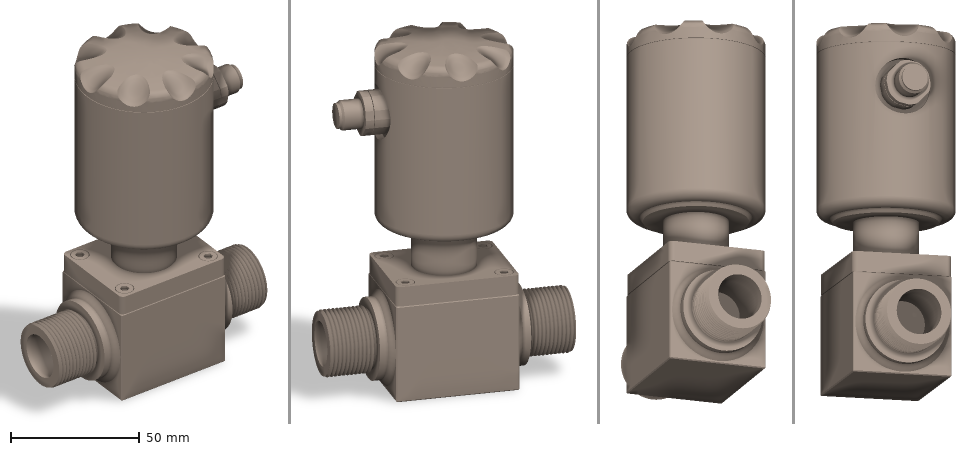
import cadquery as cq
import math

block_width = 40.0
block_length = 50.0
block_height = 40.0
block_edge_chamfer = 0.4
port_axis_z = block_height / 2

lid_height = 8.1
lid_corner_radius = 2.0
lid_top_z = block_height + lid_height
screw_inset = 5.0
screw_hole_diameter = 7.5
screw_head_diameter = 7.0
screw_gap_depth = 1.4
socket_across_corners = 3.8
socket_depth = 1.4

port_to_port_length = 100.0
port_end_y = port_to_port_length / 2
collar_diameter = 33.0
collar_inner_y = 27.5
collar_outer_y = 30.7
collar_base_diameter = 38.1
thread_crest_diameter = 26.7
thread_root_diameter = 24.2
thread_pitch = 1.64
thread_ring_count = 11
first_crest_inset = 1.3
port_end_diameter = 25.9
bore_diameter = 18.0

neck_diameter = 25.9
foot_bottom_z = 65.1
foot_bottom_diameter = 41.5
foot_top_diameter = 44.1
housing_diameter = 54.5
housing_bottom_z = 66.7
housing_bottom_fillet = 3.5
seam_z = 131.8
seam_groove = 0.3

cap_top_z = 142.2
cap_rim_z = 140.0
cap_rim_diameter = 48.2
cap_shoulder_z = 136.4
scoop_count = 8
scoop_diameter = 15.9
scoop_slope = 30.0
scoop_floor_z = 134.3

connector_z = 114.5
recess_diameter = 22.0
recess_floor_y = 24.2
nut_diameter = 17.8
nut_end_y = 34.3
nut_split_y = 30.7
nut_split_width = 0.3
nut_split_depth = 0.4
wide_flat_facing = 135.0
wide_flat_half_angle = 21.5
narrow_flat_half_angle = 12.2
plug_diameter = 12.0
plug_shoulder_y = 42.0
plug_tip_diameter = 10.2
plug_end_y = 44.0


def turned_about_z(points):
    """Solid of revolution about Z from (radius, z) points."""
    return cq.Workplane("XZ").polyline(points).close().revolve(360, (0, 0), (0, 1))


def cylinder_along_y(diameter, start_y, end_y, z):
    """Solid cylinder parallel to Y on the X = 0 plane."""
    base = cq.Workplane("XZ", origin=(0, start_y, z))
    return base.circle(diameter / 2).extrude(start_y - end_y)


def make_block():
    block = cq.Workplane("XY").box(block_width, block_length, block_height, centered=(True, True, False))
    return block.edges().chamfer(block_edge_chamfer)


def make_lid():
    lid = cq.Workplane("XY", origin=(0, 0, block_height)).rect(block_width, block_length).extrude(lid_height)
    lid = lid.edges("|Z").fillet(lid_corner_radius)
    spacing_x = block_width - 2 * screw_inset
    spacing_y = block_length - 2 * screw_inset
    screws = lid.faces(">Z").workplane().rect(spacing_x, spacing_y, forConstruction=True).vertices()
    gaps = screws.circle(screw_hole_diameter / 2).circle(screw_head_diameter / 2)
    gaps = gaps.extrude(-screw_gap_depth, combine=False)
    sockets = screws.polygon(6, socket_across_corners).extrude(-socket_depth, combine=False)
    return lid.cut(gaps).cut(sockets)


def make_port():
    """Collar and ringed thread of the -Y port, turned about the passage axis."""
    root = thread_root_diameter / 2
    crest = thread_crest_diameter / 2
    first_crest_y = port_end_y - first_crest_inset
    points = [
        (0, 0),
        (collar_base_diameter / 2, 0),
        (collar_base_diameter / 2, block_length / 2),
        (collar_diameter / 2, collar_inner_y),
        (collar_diameter / 2, collar_outer_y),
        (root, collar_outer_y),
    ]
    for ring in reversed(range(thread_ring_count)):
        crest_y = first_crest_y - ring * thread_pitch
        points.append((root, crest_y - thread_pitch / 2))
        points.append((crest, crest_y))
    points += [
        (root, first_crest_y + thread_pitch / 2),
        (port_end_diameter / 2, port_end_y),
        (0, port_end_y),
    ]
    port = turned_about_z(points).rotate((0, 0, 0), (1, 0, 0), 90)
    return port.translate((0, 0, port_axis_z))


def make_port_bore():
    """Blind bore of the -Y port, ending at the block face."""
    return cylinder_along_y(bore_diameter, -port_end_y, -block_length / 2, port_axis_z)


def make_housing():
    radius = housing_diameter / 2
    arc_offset = housing_bottom_fillet * math.sqrt(0.5)
    fillet_centre_r = radius - housing_bottom_fillet
    fillet_centre_z = housing_bottom_z + housing_bottom_fillet
    cap_rim_r = cap_rim_diameter / 2
    dome_radius = (cap_rim_r ** 2 + (cap_top_z - cap_rim_z) ** 2) / (2 * (cap_top_z - cap_rim_z))
    dome_mid_r = cap_rim_r / 2
    dome_mid_z = cap_top_z - dome_radius + math.sqrt(dome_radius ** 2 - dome_mid_r ** 2)
    outline = (
        cq.Workplane("XZ")
        .moveTo(0, lid_top_z)
        .lineTo(neck_diameter / 2, lid_top_z)
        .lineTo(neck_diameter / 2, foot_bottom_z)
        .lineTo(foot_bottom_diameter / 2, foot_bottom_z)
        .lineTo(foot_top_diameter / 2, housing_bottom_z)
        .lineTo(fillet_centre_r, housing_bottom_z)
        .threePointArc(
            (fillet_centre_r + arc_offset, fillet_centre_z - arc_offset),
            (radius, fillet_centre_z),
        )
        .lineTo(radius, seam_z - seam_groove / 2)
        .lineTo(radius - seam_groove, seam_z - seam_groove / 2)
        .lineTo(radius - seam_groove, seam_z + seam_groove / 2)
        .lineTo(radius, seam_z + seam_groove / 2)
        .lineTo(radius, cap_shoulder_z)
        .tangentArcPoint((cap_rim_r, cap_rim_z), relative=False)
        .threePointArc((dome_mid_r, dome_mid_z), (0, cap_top_z))
        .close()
    )
    return outline.revolve(360, (0, 0), (0, 1))


def make_scoops():
    """Sloping round cutters whose floors leave the cap wall at scoop_floor_z."""
    slope = math.radians(scoop_slope)
    axis_z = scoop_floor_z + scoop_diameter / 2 / math.cos(slope)
    wall_point = cq.Vector(housing_diameter / 2, 0, axis_z)
    inward = cq.Vector(-math.cos(slope), 0, math.sin(slope))
    start = wall_point - inward * scoop_diameter
    length = housing_diameter
    scoop = cq.Workplane(cq.Solid.makeCylinder(scoop_diameter / 2, length, start, inward))
    scoops = cq.Workplane()
    for index in range(scoop_count):
        scoops = scoops.add(scoop.rotate((0, 0, 0), (0, 0, 1), index * 360 / scoop_count))
    return scoops.vals()


def make_nut():
    """Round nut with two wide and four narrow flats, split by a thin groove."""
    nut_radius = nut_diameter / 2
    nut = cylinder_along_y(nut_diameter, 0, nut_end_y, connector_z)
    narrow, wide = narrow_flat_half_angle, wide_flat_half_angle
    flats = [(narrow, narrow), (90 - narrow, narrow), (wide_flat_facing, wide)]
    for facing, half_angle in flats:
        across_flats = 2 * nut_radius * math.cos(math.radians(half_angle))
        slab = cq.Workplane("XY").box(across_flats, 2 * nut_end_y, 2 * nut_diameter)
        slab = slab.rotate((0, 0, 0), (0, 1, 0), facing).translate((0, 0, connector_z))
        nut = nut.intersect(slab)
    split_start = nut_split_y - nut_split_width / 2
    split_end = nut_split_y + nut_split_width / 2
    split = cylinder_along_y(2 * nut_diameter, split_start, split_end, connector_z)
    split_core = nut_diameter * math.cos(math.radians(wide_flat_half_angle)) - 2 * nut_split_depth
    return nut.cut(split.cut(cylinder_along_y(split_core, split_start, split_end, connector_z)))


def make_plug():
    """Plug with a 45 degree shoulder down to a thinner tip."""
    shoulder = (plug_diameter - plug_tip_diameter) / 2
    body = cylinder_along_y(plug_diameter, 0, plug_shoulder_y + shoulder, connector_z)
    body = body.faces(">Y").chamfer(shoulder)
    return body.union(cylinder_along_y(plug_tip_diameter, 0, plug_end_y, connector_z))


housing = make_housing()
for scoop in make_scoops():
    housing = housing.cut(cq.Workplane(scoop))
housing = housing.cut(cylinder_along_y(recess_diameter, recess_floor_y, housing_diameter, connector_z))

result = make_block().union(make_port()).union(make_port().mirror("XZ"))
result = result.cut(make_port_bore()).cut(make_port_bore().mirror("XZ"))
result = result.union(make_lid()).union(housing)
result = result.union(make_nut()).union(make_plug())